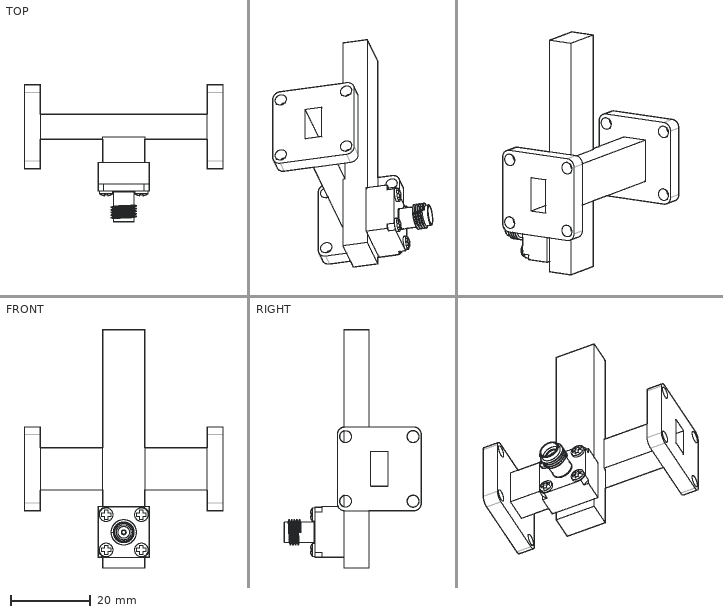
import cadquery as cq
import math

overall_length = 50.0
overall_depth = 34.55

guide_height = 10.7
guide_depth = 6.35
opening_height = 8.65
opening_depth = 4.3
guide_z = 24.95

flange_side = 21.2
flange_thickness = 4.0
flange_corner_radius = 2.0
flange_hole_diameter = 2.95
flange_hole_spacing_y = 17.0
flange_hole_spacing_z = 16.25

bar_height = 60
bar_front_y = -8.95

block_width = 12.85
block_depth = 5.45
block_rise = 0.2
connector_z = 9
plate_thickness = 1.8
plate_height = 12.65
plate_corner_chamfer = 1.25

collar_diameter = 5.35
collar_length = 0.25
barrel_diameter = 5.2
barrel_tip_chamfer = 0.1
bore_diameter = 4.5
bore_depth = 1.5
seat_diameter = 3.8
seat_depth = 1.9
inner_bore_diameter = 2.95
inner_bore_depth = 0.9
pin_diameter = 1.25
pin_hole_diameter = 0.95
pin_setback = 2.05
pin_hole_depth = 0.6

thread_diameter = 6.35
thread_pitch = 0.65
thread_turns = 4.5
thread_start = 3.7
thread_root_width = 0.6
thread_crest_width = 0.1
thread_embed = 0.1

screw_spacing = 8.9
screw_diameter = 3.4
screw_rim_height = 0.6
screw_head_height = 1.25
recess_length = 2.35
recess_width = 0.9
recess_depth = 0.8

block_front_y = bar_front_y - block_depth
plate_front_y = block_front_y - plate_thickness
barrel_length = plate_front_y - (flange_side / 2 - overall_depth)


def front_plane(y):
    """Sketch plane facing -Y through the connector axis: local x is X, local y is Z."""
    return cq.Plane(origin=(0, y, connector_z), xDir=(1, 0, 0), normal=(0, -1, 0))


def make_main_guide():
    """Solid waveguide body with a drilled flange at each end."""
    guide = cq.Workplane("XY").box(overall_length, guide_depth, guide_height)
    for side in (-1, 1):
        flange = (
            cq.Workplane("XY")
            .box(flange_thickness, flange_side, flange_side)
            .edges("|X")
            .fillet(flange_corner_radius)
            .faces(">X")
            .workplane()
            .rect(flange_hole_spacing_y, flange_hole_spacing_z, forConstruction=True)
            .vertices()
            .hole(flange_hole_diameter)
        )
        guide = guide.union(flange.translate((side * (overall_length - flange_thickness) / 2, 0, 0)))
    return guide.translate((0, 0, guide_z))


def make_opening():
    """Rectangular passage through the main waveguide and both flanges."""
    return cq.Workplane("XY").box(overall_length, opening_depth, opening_height).translate((0, 0, guide_z))


def make_branch_bar():
    bar = cq.Workplane("XY").box(guide_height, guide_depth, bar_height, centered=(True, False, False))
    return bar.translate((0, bar_front_y, 0))


def make_launcher():
    """The block and plate share their lower edge; the block rises slightly above the plate."""
    block = (
        cq.Workplane(front_plane(bar_front_y))
        .center(0, block_rise / 2)
        .rect(block_width, plate_height + block_rise)
        .extrude(block_depth)
    )
    plate = (
        cq.Workplane(front_plane(block_front_y))
        .rect(block_width, plate_height)
        .extrude(plate_thickness)
        .edges("|Y")
        .chamfer(plate_corner_chamfer)
    )
    return block.union(plate)


def make_thread():
    """Right-hand helical ridge along Z, starting at Z = 0."""
    root_radius = barrel_diameter / 2 - thread_embed
    crest_radius = thread_diameter / 2
    path = cq.Wire.makeHelix(thread_pitch, thread_pitch * thread_turns, root_radius)
    return (
        cq.Workplane("XZ")
        .moveTo(root_radius, -thread_root_width / 2)
        .lineTo(crest_radius, -thread_crest_width / 2)
        .lineTo(crest_radius, thread_crest_width / 2)
        .lineTo(root_radius, thread_root_width / 2)
        .close()
        .sweep(cq.Workplane(path), isFrenet=True)
    )


def make_connector():
    """Connector built along Z from its plate face, then turned to point along -Y."""
    barrel = (
        cq.Workplane("XY")
        .circle(barrel_diameter / 2)
        .extrude(barrel_length)
        .faces(">Z")
        .edges()
        .chamfer(barrel_tip_chamfer)
    )
    collar = cq.Workplane("XY").circle(collar_diameter / 2).extrude(collar_length)
    body = barrel.union(collar).union(make_thread().translate((0, 0, thread_start)))

    bore_floor = seat_depth + inner_bore_depth
    bore = (
        cq.Workplane("XZ")
        .moveTo(0, barrel_length)
        .lineTo(bore_diameter / 2, barrel_length)
        .lineTo(bore_diameter / 2, barrel_length - bore_depth)
        .lineTo(seat_diameter / 2, barrel_length - seat_depth)
        .lineTo(inner_bore_diameter / 2, barrel_length - seat_depth)
        .lineTo(inner_bore_diameter / 2, barrel_length - bore_floor)
        .lineTo(0, barrel_length - bore_floor)
        .close()
        .revolve(360, (0, 0, 0), (0, 1, 0))
    )
    body = body.cut(bore)

    pin_length = bore_floor - pin_setback
    pin = (
        cq.Workplane("XY")
        .workplane(offset=barrel_length - bore_floor)
        .circle(pin_diameter / 2)
        .extrude(pin_length)
        .faces(">Z")
        .workplane()
        .hole(pin_hole_diameter, pin_hole_depth)
    )
    connector = body.union(pin)
    return connector.rotate((0, 0, 0), (1, 0, 0), 90).translate((0, plate_front_y, connector_z))


def make_screw_head():
    """Domed head along Z with a cross recess."""
    radius = screw_diameter / 2
    dome_rise = screw_head_height - screw_rim_height
    dome_radius = (radius ** 2 + dome_rise ** 2) / (2 * dome_rise)
    mid_angle = math.asin(radius / dome_radius) / 2
    mid_x = dome_radius * math.sin(mid_angle)
    mid_z = screw_head_height - dome_radius * (1 - math.cos(mid_angle))
    head = (
        cq.Workplane("XZ")
        .lineTo(radius, 0)
        .lineTo(radius, screw_rim_height)
        .threePointArc((mid_x, mid_z), (0, screw_head_height))
        .close()
        .revolve(360, (0, 0, 0), (0, 1, 0))
    )
    top = cq.Workplane("XY").workplane(offset=screw_head_height)
    head = head.cut(top.rect(recess_length, recess_width).extrude(-recess_depth))
    return head.cut(top.rect(recess_width, recess_length).extrude(-recess_depth))


result = make_main_guide().union(make_branch_bar()).cut(make_opening())
result = result.union(make_launcher()).union(make_connector())

screw_head = make_screw_head().rotate((0, 0, 0), (1, 0, 0), 90)
for side_x in (-1, 1):
    for side_z in (-1, 1):
        screw_x = side_x * screw_spacing / 2
        screw_z = connector_z + side_z * screw_spacing / 2
        result = result.union(screw_head.translate((screw_x, plate_front_y, screw_z)))